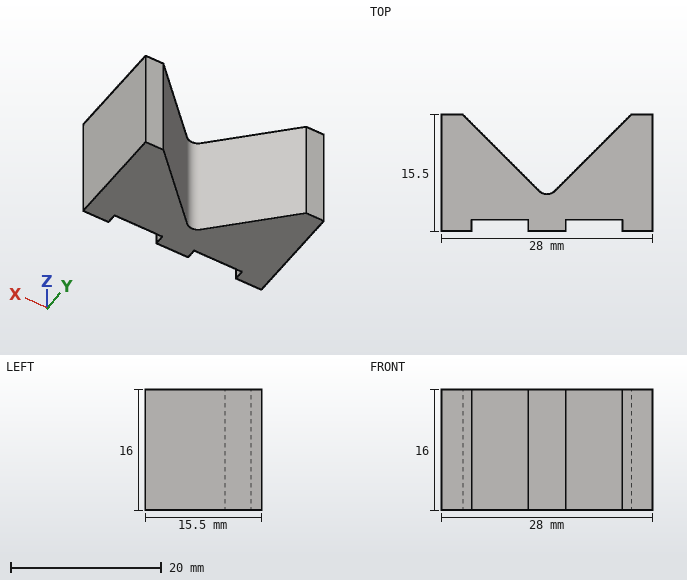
import cadquery as cq

length = 28.0
depth = 15.5
height = 16.0

land_width = 2.8
groove_radius = 1.5

slot_width = 7.5
slot_depth = 1.5
rib_width = 5.0

back_y = depth / 2
front_y = -depth / 2
half_length = length / 2
groove_half_width = half_length - land_width
apex_y = back_y - groove_half_width


def make_body():
    """Block with the V-groove, its bottom edge rounded."""
    profile = [
        (-half_length, front_y),
        (half_length, front_y),
        (half_length, back_y),
        (groove_half_width, back_y),
        (0, apex_y),
        (-groove_half_width, back_y),
        (-half_length, back_y),
    ]
    body = cq.Workplane("XY").polyline(profile).close().extrude(height)
    groove_bottom = cq.selectors.NearestToPointSelector((0, apex_y, height / 2))
    return body.edges(groove_bottom).fillet(groove_radius)


def make_slots():
    """Cutters for the two full-height slots beside the central rib."""
    slot_offset = (rib_width + slot_width) / 2
    return (
        cq.Workplane("XY")
        .pushPoints([(-slot_offset, front_y), (slot_offset, front_y)])
        .rect(slot_width, 2 * slot_depth)
        .extrude(height)
    )


result = make_body().cut(make_slots())